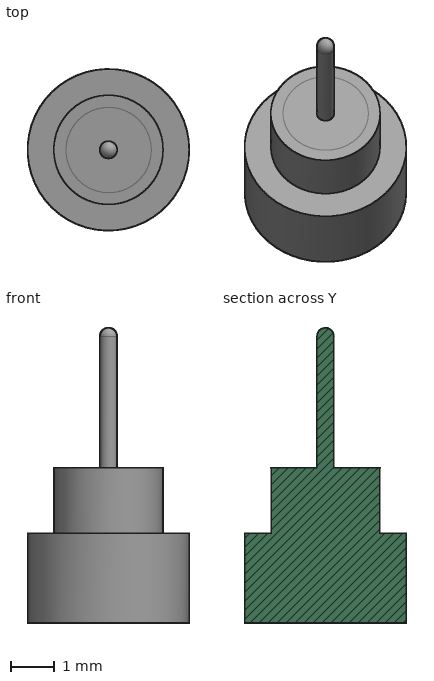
import cadquery as cq

total_height = 6.75
base_diameter = 3.7

base_height = 2.05
neck_diameter = 2.5
neck_height = 1.5
body_height = base_height + neck_height

insulator_diameter = 1.95

pin_diameter = 0.4
pin_radius = pin_diameter / 2
dome_center_height = total_height - pin_radius


def cylinder(diameter, bottom, top):
    """Upright cylinder on the Z axis between two heights."""
    return cq.Workplane("XY").workplane(offset=bottom).circle(diameter / 2).extrude(top - bottom)


def make_shell():
    """Base and neck, with the insulator bore through the neck."""
    base = cylinder(base_diameter, 0, base_height)
    neck = cylinder(neck_diameter, base_height, body_height)
    bore = cylinder(insulator_diameter, base_height, body_height)
    return base.union(neck).cut(bore)


def make_pin():
    """Pin rising from the insulator and ending in a hemisphere."""
    shaft = cylinder(pin_diameter, body_height, dome_center_height)
    dome = cq.Workplane("XY").sphere(pin_radius).translate((0, 0, dome_center_height))
    return shaft.union(dome)


insulator = cylinder(insulator_diameter, base_height, body_height)

result = make_shell().union(insulator, clean=False).union(make_pin(), clean=False)